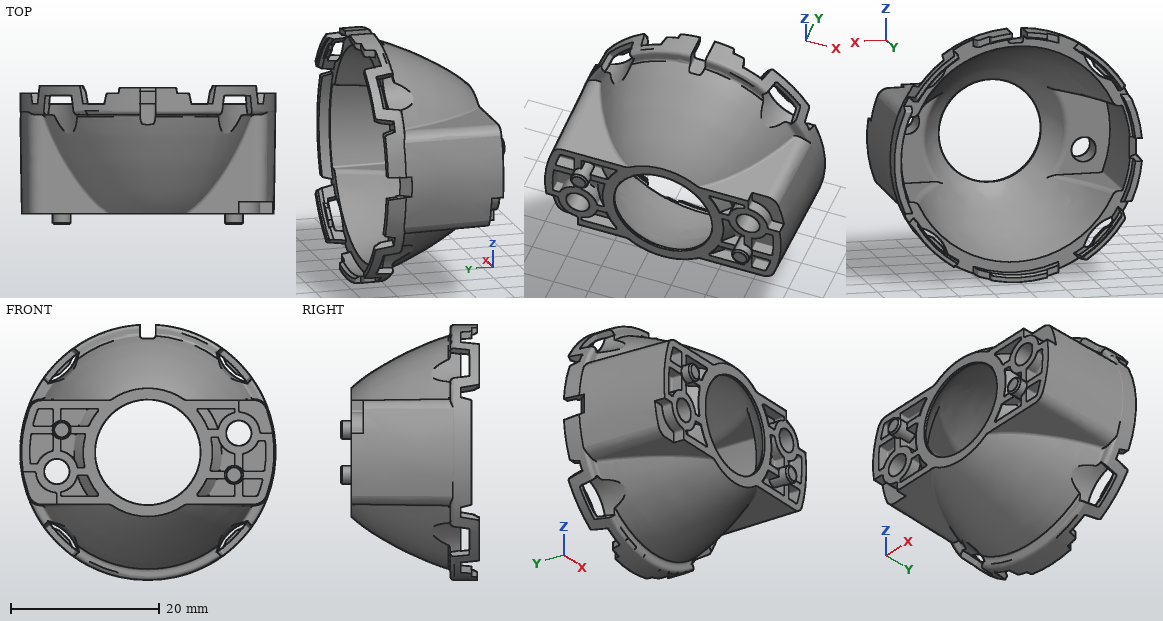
import cadquery as cq
import math

AXIS = cq.Vector(0, 1, 0)

bore_radius = 7.1
bore_lip = 0.35
bowl_wall = 1.38
bowl_curve = [(8.65, 0), (10.25, 2.0), (11.95, 4.68), (14.15, 9.0), (15.75, 13.12), (16.3, 14.8)]

key_slot_width = 2.1
key_slot_floor = 15.35
key_slot_corner = 0.4
key_slot_bottom = 10.33

overall_height = 34.43
rim_radius = overall_height / 2 + (key_slot_width / 2) ** 2 / (2 * overall_height)
rim_bottom = 13.35
rim_round = 0.55
rim_foot_radius = 16.15
bowl_blend_mid = (15.87, 13.3)
bowl_blend_end = (15.75, 13.12)
seat_height = 14.8
ring_inner_radius = 16.32
lead_in_start = 16.5
lead_in_width = 0.28

side_tab_height = 16.25
main_tab_height = 17.0
clip_tab_height = 17.3
side_tab_widths = (7.45, 7.05)
main_tab_widths = (5.9, 5.58)
main_tab_crown_widths = (4.15, 3.85)
clip_tab_widths = (4.35, 3.85)
tab_corner = 0.28
clip_angles = (45, 135, 225, 315)

window_top = 15.95
window_widths = (3.0, 2.48)
window_inner_radius = 16.05
window_corner = 0.2
hook_reach = 15.87
hook_widths = (2.05, 0.95)
hook_height = 0.55
hook_step = 0.15
scoop_offset = 21.0
scoop_top_radius = 5.6
scoop_taper = 7.0
scoop_bottom = 9.65

notch_widths = (1.35, 1.6)
notch_bottom = 12.85
notch_inner_radius = 15.85
notch_inner_height = 14.3

wing_radius = 17.0
wing_half_height = 7.0
wing_corner = 1.72
wing_draft = 0.8
wing_wall = 1.1
wing_inner_corner = 0.35
hollow_floor = 3.45
wing_blend = 0.4
hollow_blend = 0.85

hole_x, hole_z = -12.25, -2.58
hole_radius = 1.7
boss_radius = 2.82
pin_x, pin_z = -11.6, 3.03
pin_radius = 1.25
pin_length = 1.4
pin_chamfer = 0.25
pocket_depth = 1.62
pocket_corner = 0.2
pocket_floor_round = 0.15
recess_corner = 0.35
pocket_inner_radius = 8.7
rib_width = 1.05

REACH = 20.65


def revolved(profile):
    return profile.close().revolve(360, (0, 0, 0), (0, 1, 0))


def turned(shape, angle):
    """Turn a shape about the optical axis; 0 is +Z and 90 is +X."""
    return shape.rotate((0, 0, 0), (0, 1, 0), angle)


def post(radius, x, z, y_from, y_to):
    return cq.Workplane(cq.Solid.makeCylinder(radius, y_to - y_from, cq.Vector(x, y_from, z), AXIS))


def block(x_range, y_range, z_range):
    size = [high - low for low, high in (x_range, y_range, z_range)]
    return cq.Workplane().box(*size, centered=False).translate((x_range[0], y_range[0], z_range[0]))


def trapezoid(half_bottom, half_top, bottom, top):
    """Trapezoid in the tangent-Y plane, extruded along +Z through the rim."""
    points = [(-half_bottom, bottom), (half_bottom, bottom), (half_top, top), (-half_top, top)]
    return cq.Workplane("XY").polyline(points).close().extrude(REACH)


def wing_prism(radius, half_height, corner, y_from, y_to, draft=0.0):
    outline = (
        cq.Sketch().rect(3 * radius, 2 * half_height).circle(radius, mode="i").vertices().fillet(corner)
    )
    plane = cq.Plane(origin=(0, y_from, 0), xDir=(1, 0, 0), normal=(0, 1, 0))
    return cq.Workplane(plane).placeSketch(outline).extrude(y_to - y_from, taper=-draft)


def bowl_outside():
    profile = cq.Workplane("XY").moveTo(0, 0).lineTo(*bowl_curve[0])
    profile = profile.spline(bowl_curve[1:], includeCurrent=True)
    return revolved(profile.lineTo(0, seat_height))


def bowl_inside():
    inner_curve = [(radius - bowl_wall, y) for radius, y in bowl_curve[1:]]
    profile = cq.Workplane("XY").lineTo(bore_radius, 0).lineTo(bore_radius, bore_lip)
    profile = profile.spline(inner_curve, includeCurrent=True)
    return revolved(profile.lineTo(0, seat_height))


def rim_ring():
    round_mid = rim_round * (1 - math.sqrt(0.5))
    bowl_mouth_radius = bowl_curve[-1][0] - bowl_wall
    profile = (
        cq.Workplane("XY")
        .moveTo(bowl_mouth_radius, seat_height)
        .lineTo(ring_inner_radius, seat_height)
        .lineTo(ring_inner_radius, lead_in_start)
        .lineTo(ring_inner_radius + lead_in_width, main_tab_height)
        .lineTo(ring_inner_radius + lead_in_width, clip_tab_height)
        .lineTo(rim_radius, clip_tab_height)
        .lineTo(rim_radius, rim_bottom + rim_round)
        .threePointArc(
            (rim_radius - round_mid, rim_bottom + round_mid), (rim_radius - rim_round, rim_bottom)
        )
        .lineTo(rim_foot_radius, rim_bottom)
        .threePointArc(bowl_blend_mid, bowl_blend_end)
        .lineTo(bowl_mouth_radius, bowl_blend_end[1])
    )
    return revolved(profile)


def tab_slice(widths, top):
    return trapezoid(*widths, seat_height, top).edges("|Z and >Y").fillet(tab_corner)


def clip_hook():
    half_root, half_nose = hook_widths
    points = [
        (-half_root, ring_inner_radius),
        (-half_nose, hook_reach),
        (half_nose, hook_reach),
        (half_root, ring_inner_radius),
        (half_root, ring_inner_radius + 0.35),
        (-half_root, ring_inner_radius + 0.35),
    ]
    plane = cq.Workplane("XZ", origin=(0, window_top + hook_step, 0))
    return plane.polyline(points).close().extrude(-hook_height)


def tabbed_rim():
    side = tab_slice(side_tab_widths, side_tab_height)
    main = tab_slice(main_tab_widths, side_tab_height)
    main = main.union(tab_slice(main_tab_crown_widths, main_tab_height))
    clip = tab_slice(clip_tab_widths, clip_tab_height)
    kept = block((-REACH, REACH), (0, seat_height), (-REACH, REACH))
    kept = kept.union(main).union(turned(main, 180)).union(turned(side, 90)).union(turned(side, 270))
    for angle in clip_angles:
        kept = kept.union(turned(clip, angle))
    rim = rim_ring().intersect(kept)
    for angle in clip_angles:
        rim = rim.union(turned(clip_hook(), angle))
    return rim


def clip_opening():
    window = trapezoid(*window_widths, notch_bottom, window_top)
    window = window.edges("|Z and >Y").fillet(window_corner)
    window = window.cut(block((-REACH, REACH), (0, REACH), (0, window_inner_radius)))
    height = seat_height - scoop_bottom
    bottom_radius = scoop_top_radius + height * math.tan(math.radians(scoop_taper))
    scoop = cq.Solid.makeCone(
        bottom_radius, scoop_top_radius, height, cq.Vector(0, scoop_bottom, scoop_offset), AXIS
    )
    scoop_reach = block((-REACH, REACH), (0, REACH), (0, window_inner_radius))
    return window.union(cq.Workplane(scoop).intersect(scoop_reach))


def key_slot():
    half = key_slot_width / 2
    slot = block((-half, half), (key_slot_bottom, REACH), (key_slot_floor, REACH))
    return slot.edges("|Y and <Z").fillet(key_slot_corner)


def side_notch():
    opening = turned(trapezoid(*notch_widths, notch_bottom, side_tab_height), 270)
    ramp = [
        (-REACH, notch_bottom),
        (-rim_radius, notch_bottom),
        (-notch_inner_radius, notch_inner_height),
        (-notch_inner_radius, REACH),
        (-REACH, REACH),
    ]
    return opening.intersect(cq.Workplane("XY").polyline(ramp).close().extrude(REACH / 2, both=True))


def wing_inside(y_from, y_to):
    return wing_prism(
        wing_radius - wing_wall, wing_half_height - wing_wall, wing_inner_corner, y_from, y_to
    )


def face_pockets():
    pockets = wing_inside(0, pocket_depth).intersect(block((-REACH, 0), (0, REACH), (-REACH, REACH)))
    pockets = pockets.cut(bowl_outside()).cut(post(pocket_inner_radius, 0, 0, 0, pocket_depth))
    half = rib_width / 2
    depth = (0, pocket_depth)
    pockets = pockets.cut(block((hole_x - half, hole_x + half), depth, (-REACH, REACH)))
    for z in (hole_z, pin_z):
        pockets = pockets.cut(block((-REACH, 0), depth, (z - half, z + half)))
    pockets = pockets.cut(post(boss_radius, hole_x, hole_z, *depth))
    pockets = pockets.cut(block((-REACH, hole_x), depth, (-REACH, hole_z + rib_width)))
    pockets = pockets.edges("|Y").fillet(pocket_corner)
    floors = [face for face in pockets.faces(">Y").vals() if face.Center().z > hole_z]
    pockets = pockets.newObject(floors).edges().fillet(pocket_floor_round)
    return pockets.cut(post(pin_radius, pin_x, pin_z, *depth))


def corner_recess():
    recess = block((-REACH, hole_x), (0, pocket_depth), (-REACH, hole_z))
    recess = recess.cut(post(boss_radius, hole_x, hole_z, 0, pocket_depth))
    beside_boss = cq.selectors.BoxSelector(
        (hole_x - boss_radius - 0.35, 0, hole_z - boss_radius - 0.35), (hole_x + 0.35, pocket_depth, hole_z + 0.35)
    )
    return recess.edges("|Y").edges(beside_boss).fillet(recess_corner)


def pin():
    body = post(pin_radius, pin_x, pin_z, -pin_length, pocket_depth)
    return body.faces("<Y").chamfer(pin_chamfer)


def blend_bowl_edges(shape, radius):
    """Round the curved edges where the wings leave the bowl."""
    curved = [edge for edge in shape.edges().vals() if edge.geomType() == "BSPLINE"]
    return shape.newObject(curved).fillet(radius)


wings = wing_prism(wing_radius, wing_half_height, wing_corner, 0, seat_height, wing_draft)
outside = blend_bowl_edges(bowl_outside().union(wings), wing_blend)
inside = blend_bowl_edges(bowl_inside().union(wing_inside(hollow_floor, seat_height)), hollow_blend)

body = outside.union(tabbed_rim()).cut(inside)

for angle in clip_angles:
    body = body.cut(turned(clip_opening(), angle))
body = body.cut(key_slot()).cut(side_notch())

for angle in (0, 180):
    cuts = face_pockets().union(corner_recess())
    cuts = cuts.union(post(hole_radius, hole_x, hole_z, 0, REACH))
    body = body.cut(turned(cuts, angle)).union(turned(pin(), angle))

result = body